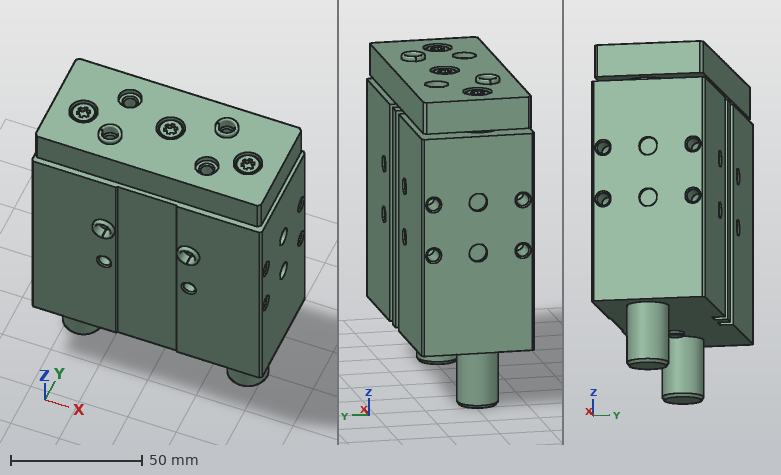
import cadquery as cq
import math

OVERALL_HEIGHT = 124.8

HOUSING_WIDTH = 95.0
HOUSING_DEPTH = 44.0
HOUSING_BOTTOM = 23.3
HOUSING_TOP = 108.8
HOUSING_CHAMFER = 0.9
HOUSING_FRONT = -HOUSING_DEPTH / 2
HOUSING_BACK = HOUSING_DEPTH / 2
HOUSING_HEIGHT = HOUSING_TOP - HOUSING_BOTTOM

CHANNEL_MOUTH_WIDTH = 25.2
CHANNEL_DEPTH = 0.5

SENSOR_SLOT_WIDTH = 5.0
SENSOR_SLOT_DEPTH = 5.0
SENSOR_RIDGE_WIDTH = 5.2

HOLE_ROW_PITCH = 20.0
HOLE_ROW_TOP = 82.9
HOLE_ROWS = (HOLE_ROW_TOP, HOLE_ROW_TOP - HOLE_ROW_PITCH)
FRONT_HOLE_X = 17.5
SIDE_HOLE_Y = 17.5
THREAD_DIAMETER = 4.9
THREAD_CHAMFER = 0.6
SIDE_HOLE_DEPTH = 10.0
DRILL_POINT_ANGLE = 118.0

PORT_DIAMETER = 7.0
PORT_DEPTH = 1.7

SLEEVE_PROTRUSION = 1.7
PLATE_WIDTH = 93.1
PLATE_DEPTH = 42.2
PLATE_TOP = OVERALL_HEIGHT - SLEEVE_PROTRUSION
PLATE_THICKNESS = 12.4
PLATE_BOTTOM = PLATE_TOP - PLATE_THICKNESS
PLATE_CHAMFER = 1.1
PLATE_HOLE_X = 20.0
PLATE_HOLE_Y = 10.0

SLEEVE_DIAMETER = 9.0
SLEEVE_WALL = 1.4
SLEEVE_SEAT_DEPTH = 2.1
SLEEVE_SLIT = 0.2
SLEEVE_LENGTH = SLEEVE_SEAT_DEPTH + SLEEVE_PROTRUSION

GUIDE_ROD_X = 34.0
GUIDE_ROD_Y = -2.7
GUIDE_ROD_DIAMETER = 16.0
ROD_END_TAPER_LENGTH = 1.2
ROD_END_TAPER_INSET = 0.9
PISTON_ROD_OFFSET = 5.0
PISTON_ROD_Y = GUIDE_ROD_Y + PISTON_ROD_OFFSET
PISTON_ROD_DIAMETER = 9.0
PISTON_ROD_BOTTOM = 37.5
SCREW_SHANK_DIAMETER = 5.2
SCREW_HEAD_DIAMETER = 9.7
SCREW_HEAD_HEIGHT = 5.0
SCREW_HEAD_CHAMFER = 0.5
SCREW_SEAT_DIAMETER = 11.0
SCREW_HEAD_RECESS = 0.5
SCREW_SEAT_DEPTH = SCREW_HEAD_HEIGHT + SCREW_HEAD_RECESS
SOCKET_DIAMETER = 5.2
SOCKET_DEPTH = 1.9
SOCKET_LOBES = 6
SOCKET_NOTCH_DIAMETER = 1.5

FOOT_X = 18.5
FOOT_Y = GUIDE_ROD_Y
FOOT_DIAMETER = 7.0
FOOT_HEIGHT = 1.4
FOOT_CHAMFER = 0.5

UP = cq.Vector(0, 0, 1)
DOWN = cq.Vector(0, 0, -1)
INTO_FRONT = cq.Vector(0, 1, 0)
INTO_BACK = cq.Vector(0, -1, 0)

FRONT_SLEEVE_SEATS = [cq.Vector(x, HOUSING_FRONT, HOLE_ROW_TOP) for x in (-FRONT_HOLE_X, FRONT_HOLE_X)]
TOP_SLEEVE_SEATS = [cq.Vector(s * PLATE_HOLE_X, s * PLATE_HOLE_Y, PLATE_TOP) for s in (-1, 1)]
GUIDE_ROD_AXES = [(-GUIDE_ROD_X, GUIDE_ROD_Y), (GUIDE_ROD_X, GUIDE_ROD_Y)]
ROD_AXES = [*GUIDE_ROD_AXES, (0, PISTON_ROD_Y)]


def cylinder(diameter, length, start, direction):
    return cq.Solid.makeCylinder(diameter / 2, length, start, direction)


def chamfer_cone(diameter, size, start, direction):
    """Countersink cutter that widens a hole mouth by `size` all round."""
    return cq.Solid.makeCone(diameter / 2 + size, diameter / 2, size, start, direction)


def chamfered_block(width, depth, bottom, height, chamfer):
    block = cq.Workplane("XY").workplane(offset=bottom).rect(width, depth).extrude(height)
    return block.edges("|Z").chamfer(chamfer)


def cut_front_channel(body):
    mouth = CHANNEL_MOUTH_WIDTH / 2
    floor = mouth - CHANNEL_DEPTH
    channel = (
        cq.Workplane("XY").workplane(offset=HOUSING_BOTTOM)
        .moveTo(-mouth, HOUSING_FRONT)
        .lineTo(-floor, HOUSING_FRONT + CHANNEL_DEPTH)
        .lineTo(floor, HOUSING_FRONT + CHANNEL_DEPTH)
        .lineTo(mouth, HOUSING_FRONT)
        .close()
        .extrude(HOUSING_HEIGHT)
    )
    return body.cut(channel)


def cut_sensor_slots(body):
    slot_x = (SENSOR_RIDGE_WIDTH + SENSOR_SLOT_WIDTH) / 2
    slots = (
        cq.Workplane("XY").workplane(offset=HOUSING_BOTTOM)
        .pushPoints([(-slot_x, HOUSING_BACK), (slot_x, HOUSING_BACK)])
        .rect(SENSOR_SLOT_WIDTH, 2 * SENSOR_SLOT_DEPTH)
        .extrude(HOUSING_HEIGHT)
    )
    return body.cut(slots)


def cut_front_holes(body):
    """Through holes from front to back; the upper two also seat a sleeve."""
    for x in (-FRONT_HOLE_X, FRONT_HOLE_X):
        for z in HOLE_ROWS:
            front = cq.Vector(x, HOUSING_FRONT, z)
            back = cq.Vector(x, HOUSING_BACK, z)
            body = body.cut(cylinder(THREAD_DIAMETER, HOUSING_DEPTH, front, INTO_FRONT))
            body = body.cut(chamfer_cone(THREAD_DIAMETER, THREAD_CHAMFER, back, INTO_BACK))
            if z == HOLE_ROW_TOP:
                body = body.cut(cylinder(SLEEVE_DIAMETER, SLEEVE_SEAT_DEPTH, front, INTO_FRONT))
                front += INTO_FRONT * SLEEVE_SEAT_DEPTH
            body = body.cut(chamfer_cone(THREAD_DIAMETER, THREAD_CHAMFER, front, INTO_FRONT))
    return body


def cut_side_holes(body):
    """Blind drilled holes with a conical end and plain ports, on both side faces."""
    drill_radius = THREAD_DIAMETER / 2
    point_length = drill_radius / math.tan(math.radians(DRILL_POINT_ANGLE / 2))
    for side in (-1, 1):
        face_x = side * HOUSING_WIDTH / 2
        inward = cq.Vector(-side, 0, 0)
        for z in HOLE_ROWS:
            body = body.cut(cylinder(PORT_DIAMETER, PORT_DEPTH, cq.Vector(face_x, 0, z), inward))
            for y in (-SIDE_HOLE_Y, SIDE_HOLE_Y):
                mouth = cq.Vector(face_x, y, z)
                bottom = mouth + inward * SIDE_HOLE_DEPTH
                body = body.cut(cylinder(THREAD_DIAMETER, SIDE_HOLE_DEPTH, mouth, inward))
                body = body.cut(cq.Solid.makeCone(drill_radius, 0, point_length, bottom, inward))
                body = body.cut(chamfer_cone(THREAD_DIAMETER, THREAD_CHAMFER, mouth, inward))
    return body


def cut_rod_bores(body):
    for x, y in GUIDE_ROD_AXES:
        start = cq.Vector(x, y, HOUSING_BOTTOM)
        body = body.cut(cylinder(GUIDE_ROD_DIAMETER, HOUSING_HEIGHT, start, UP))
    piston_start = cq.Vector(0, PISTON_ROD_Y, PISTON_ROD_BOTTOM)
    return body.cut(cylinder(PISTON_ROD_DIAMETER, HOUSING_TOP - PISTON_ROD_BOTTOM, piston_start, UP))


def add_feet(body):
    feet = (
        cq.Workplane("XY").workplane(offset=HOUSING_BOTTOM - FOOT_HEIGHT)
        .pushPoints([(-FOOT_X, FOOT_Y), (FOOT_X, FOOT_Y)])
        .circle(FOOT_DIAMETER / 2)
        .extrude(FOOT_HEIGHT)
        .faces("<Z").chamfer(FOOT_CHAMFER)
    )
    return body.union(feet)


def make_housing():
    body = chamfered_block(HOUSING_WIDTH, HOUSING_DEPTH, HOUSING_BOTTOM, HOUSING_HEIGHT, HOUSING_CHAMFER)
    body = cut_front_channel(body)
    body = cut_sensor_slots(body)
    body = cut_front_holes(body)
    body = cut_side_holes(body)
    body = cut_rod_bores(body)
    return add_feet(body)


def make_plate():
    body = chamfered_block(PLATE_WIDTH, PLATE_DEPTH, PLATE_BOTTOM, PLATE_THICKNESS, PLATE_CHAMFER)
    for x in (-PLATE_HOLE_X, PLATE_HOLE_X):
        for y in (-PLATE_HOLE_Y, PLATE_HOLE_Y):
            top = cq.Vector(x, y, PLATE_TOP)
            floor = top + DOWN * SLEEVE_SEAT_DEPTH
            body = body.cut(cylinder(SLEEVE_DIAMETER, SLEEVE_SEAT_DEPTH, top, DOWN))
            body = body.cut(cylinder(THREAD_DIAMETER, PLATE_THICKNESS, top, DOWN))
            body = body.cut(chamfer_cone(THREAD_DIAMETER, THREAD_CHAMFER, floor, DOWN))
    for x, y in ROD_AXES:
        top = cq.Vector(x, y, PLATE_TOP)
        body = body.cut(cylinder(SCREW_SEAT_DIAMETER, SCREW_SEAT_DEPTH, top, DOWN))
        body = body.cut(cylinder(SCREW_SHANK_DIAMETER, PLATE_THICKNESS, top, DOWN))
    return body


def make_sleeve(seat, outward, slit_direction):
    """Slit ring with a fully rounded outer end, pressed into a seat whose mouth is at `seat`."""
    bottom = seat - outward * SLEEVE_SEAT_DEPTH
    outer = SLEEVE_DIAMETER / 2
    inner = outer - SLEEVE_WALL
    crest = outer - SLEEVE_WALL / 2
    round_start = SLEEVE_LENGTH - SLEEVE_WALL / 2
    section_plane = cq.Plane(bottom, xDir=slit_direction, normal=slit_direction.cross(outward))
    ring = (
        cq.Workplane(section_plane)
        .moveTo(inner, 0)
        .lineTo(outer, 0)
        .lineTo(outer, round_start)
        .threePointArc((crest, SLEEVE_LENGTH), (inner, round_start))
        .close()
        .revolve(360, (0, 0, 0), (0, 1, 0))
    )
    slit_plane = cq.Plane(bottom, xDir=slit_direction, normal=outward)
    slit = cq.Workplane(slit_plane).center(crest, 0).rect(2 * SLEEVE_WALL, SLEEVE_SLIT).extrude(SLEEVE_LENGTH)
    return ring.cut(slit)


def make_socket(x, y, top):
    """Six-lobed drive recess: a round pocket with a notch post between each two lobes."""
    plane = cq.Workplane("XY", origin=(x, y, top - SOCKET_DEPTH))
    pocket = plane.circle(SOCKET_DIAMETER / 2).extrude(SOCKET_DEPTH)
    posts = (
        plane.polarArray(SOCKET_DIAMETER / 2, 0, 360, SOCKET_LOBES)
        .circle(SOCKET_NOTCH_DIAMETER / 2)
        .extrude(SOCKET_DEPTH)
    )
    return pocket.cut(posts)


def make_rod(x, y, diameter, bottom):
    """Rod up to the plate, with its screw shank and head inside the plate, turned about its axis."""
    head_top = PLATE_TOP - SCREW_HEAD_RECESS
    head_bottom = head_top - SCREW_HEAD_HEIGHT
    rod_radius = diameter / 2
    shank_radius = SCREW_SHANK_DIAMETER / 2
    head_radius = SCREW_HEAD_DIAMETER / 2
    rod = (
        cq.Workplane("XZ", origin=(x, y, 0))
        .moveTo(0, bottom)
        .lineTo(rod_radius - ROD_END_TAPER_INSET, bottom)
        .lineTo(rod_radius, bottom + ROD_END_TAPER_LENGTH)
        .lineTo(rod_radius, PLATE_BOTTOM)
        .lineTo(shank_radius, PLATE_BOTTOM)
        .lineTo(shank_radius, head_bottom)
        .lineTo(head_radius, head_bottom)
        .lineTo(head_radius, head_top - SCREW_HEAD_CHAMFER)
        .lineTo(head_radius - SCREW_HEAD_CHAMFER, head_top)
        .lineTo(0, head_top)
        .close()
        .revolve(360, (0, 0, 0), (0, 1, 0))
    )
    return rod.cut(make_socket(x, y, head_top))


housing = make_housing()
plate = make_plate()
guide_rods = [make_rod(x, y, GUIDE_ROD_DIAMETER, 0) for x, y in GUIDE_ROD_AXES]
piston_rod = make_rod(0, PISTON_ROD_Y, PISTON_ROD_DIAMETER, PISTON_ROD_BOTTOM)
front_sleeves = [make_sleeve(seat, INTO_BACK, DOWN) for seat in FRONT_SLEEVE_SEATS]
top_sleeves = [make_sleeve(seat, UP, cq.Vector(-1, 0, 0)) for seat in TOP_SLEEVE_SEATS]

result = cq.Compound.makeCompound([
    housing.val(),
    plate.val(),
    piston_rod.val(),
    *[rod.val() for rod in guide_rods],
    *[sleeve.val() for sleeve in front_sleeves + top_sleeves],
])